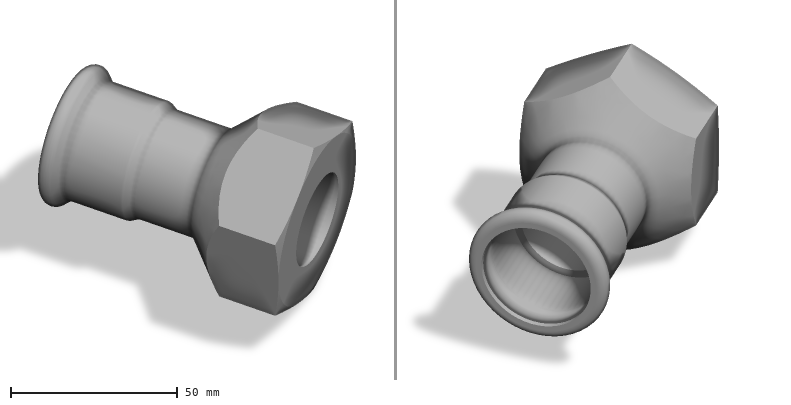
import cadquery as cq
import math

length = 83.0

tube_radius = 19.0
wall = 1.5
socket_radius = tube_radius - wall
bead_radius = 3.0
bead_centre_x = bead_radius
bead_centre_r = 19.4
bead_slope = math.radians(45)
bead_blend = 2.0

neck_radius = 17.4
shoulder_corner_x = 27.2
shoulder_slope = math.radians(30)
shoulder_blend = 2.0

hex_flats = 55.0
hex_flat_radius = hex_flats / 2
hex_corner_radius = hex_flat_radius / math.cos(math.radians(30))
cone_corner_x = 49.0
cone_slope = math.radians(45)
cone_blend = 2.0
chamfer_slope = math.radians(15)

blank_radius = hex_corner_radius + 1.0

bore_radius = 15.0
socket_depth = shoulder_corner_x


def step_along(point, distance, angle):
    """Point in the (x, r) half plane at a distance from another, angle measured from +x."""
    x, r = point
    return (x + distance * math.cos(angle), r + distance * math.sin(angle))


def add_rounded_corner(profile, corner, angle_in, angle_out, radius):
    """Draw a line up to a corner of the profile and round it with a tangent arc."""
    half_turn = (angle_out - angle_in) / 2
    setback = radius * math.tan(abs(half_turn))
    arc_rise = radius / math.cos(half_turn) - radius
    inward = (angle_in + angle_out) / 2 + math.copysign(math.pi / 2, half_turn)
    start = step_along(corner, -setback, angle_in)
    middle = step_along(corner, arc_rise, inward)
    end = step_along(corner, setback, angle_out)
    return profile.lineTo(*start).threePointArc(middle, end)


def add_bead(profile, offset):
    """Draw the bead and its blend into the tube, set in by an offset from the outer skin."""
    centre = (bead_centre_x, bead_centre_r)
    roll = bead_radius - offset
    roll_end_angle = math.pi / 2 - bead_slope
    profile = profile.threePointArc(
        step_along(centre, roll, math.pi / 2 + bead_slope),
        step_along(centre, roll, roll_end_angle),
    )
    corner_r = tube_radius - offset
    corner_drop = bead_centre_r - corner_r
    corner_x = bead_centre_x + roll / math.sin(bead_slope) + corner_drop / math.tan(bead_slope)
    return add_rounded_corner(profile, (corner_x, corner_r), -bead_slope, 0, bead_blend + offset)


def make_outer_body():
    """Solid of revolution of the whole outside, trimmed to the hexagon."""
    shoulder_run = (tube_radius - neck_radius) / math.tan(shoulder_slope)
    shoulder_foot = (shoulder_corner_x + shoulder_run, neck_radius)
    cone_top_x = cone_corner_x + (blank_radius - neck_radius) / math.tan(cone_slope)
    chamfer_x = length - (blank_radius - hex_flat_radius) * math.tan(chamfer_slope)

    profile = cq.Workplane("XY").moveTo(0, 0).lineTo(0, bead_centre_r)
    profile = add_bead(profile, 0)
    profile = add_rounded_corner(
        profile, (shoulder_corner_x, tube_radius), 0, -shoulder_slope, shoulder_blend
    )
    profile = add_rounded_corner(profile, shoulder_foot, -shoulder_slope, 0, shoulder_blend)
    profile = add_rounded_corner(profile, (cone_corner_x, neck_radius), 0, cone_slope, cone_blend)
    profile = (
        profile.lineTo(cone_top_x, blank_radius)
        .lineTo(chamfer_x, blank_radius)
        .lineTo(length, hex_flat_radius)
        .lineTo(length, 0)
        .close()
    )
    blank = profile.revolve(360, (0, 0, 0), (1, 0, 0))

    hexagon = (
        cq.Workplane("YZ")
        .polygon(6, 2 * hex_corner_radius)
        .extrude(length)
        .rotate((0, 0, 0), (1, 0, 0), 90)
    )
    return blank.intersect(hexagon)


def make_cavity():
    """Socket mouth, seal groove inside the bead, socket and bore as one revolved cutter."""
    profile = (
        cq.Workplane("XY")
        .moveTo(0, 0)
        .lineTo(0, socket_radius)
        .lineTo(wall, socket_radius)
        .lineTo(wall, bead_centre_r)
    )
    profile = add_bead(profile, wall)
    profile = (
        profile.lineTo(socket_depth, socket_radius)
        .lineTo(socket_depth, bore_radius)
        .lineTo(length, bore_radius)
        .lineTo(length, 0)
        .close()
    )
    return profile.revolve(360, (0, 0, 0), (1, 0, 0))


result = make_outer_body().cut(make_cavity())